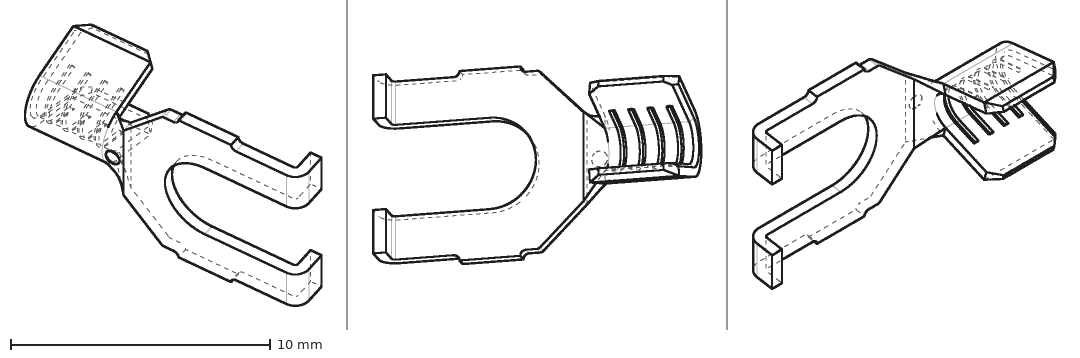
import cadquery as cq
import math


sheet = 0.51
length = 12.7
depth = 4.06

barrel_length = 3.55
barrel_radius = 1.4
barrel_offset = 0.04
flare = math.radians(15.5)
tip_thickness = sheet / 2
tip_bevel_length = 0.48
corner_trim = 0.48
mouth_chamfer_depth = 0.14
mouth_chamfer_length = 0.19

serration_count = 4
serration_pitch = 0.76
first_serration = 0.69
serration_width = 0.23
serration_depth = 0.08
serration_run = 1.17

neck_end = 4.57
neck_half_width = 1.8
disc_radius = 0.32

fork_half_width = 3.6
shoulder_x = neck_end + fork_half_width - neck_half_width
lug_half_width = 3.82
lug_start = 7.1
lug_end = 9.52
lug_fillet = lug_half_width - fork_half_width
shoulder_radius = 0.18
slot_radius = 1.84
slot_bottom = 6.48
tab_height = 1.52
bend_inner_radius = 0.13
bend_outer_radius = bend_inner_radius + sheet

barrel_center_y = barrel_offset + barrel_radius
bore_radius = barrel_radius - sheet
leg_length = (
    depth - barrel_center_y + bore_radius * math.sin(flare)
) / math.cos(flare)


def leg_point(radius, run, side):
    """(Y, Z) of a point `run` along a leg whose surface is tangent to `radius`; side is +1 or -1."""
    y = barrel_center_y - radius * math.sin(flare) + run * math.cos(flare)
    z = radius * math.cos(flare) + run * math.sin(flare)
    return y, side * z


def u_bottom(radius):
    return barrel_center_y - radius, 0


def u_area(radius, run, x):
    """Closed U-shaped outline in the plane at x, filled between its legs."""
    return (
        cq.Workplane("YZ", origin=(x, 0, 0))
        .moveTo(*leg_point(radius, run, 1))
        .lineTo(*leg_point(radius, 0, 1))
        .threePointArc(u_bottom(radius), leg_point(radius, 0, -1))
        .lineTo(*leg_point(radius, run, -1))
        .close()
    )


def u_taper(start_radius, start_x, end_radius, end_x, run):
    """Solid blending one filled U into another."""
    start = u_area(start_radius, run, start_x).val()
    end = u_area(end_radius, run, end_x).val()
    return cq.Workplane(obj=cq.Solid.makeLoft([start, end], True))


def make_wall():
    bevel_run = leg_length - tip_bevel_length
    tip_radius = bore_radius + tip_thickness
    return (
        cq.Workplane("YZ")
        .moveTo(*leg_point(barrel_radius, 0, 1))
        .threePointArc(u_bottom(barrel_radius), leg_point(barrel_radius, 0, -1))
        .lineTo(*leg_point(barrel_radius, bevel_run, -1))
        .lineTo(*leg_point(tip_radius, leg_length, -1))
        .lineTo(*leg_point(bore_radius, leg_length, -1))
        .lineTo(*leg_point(bore_radius, 0, -1))
        .threePointArc(u_bottom(bore_radius), leg_point(bore_radius, 0, 1))
        .lineTo(*leg_point(bore_radius, leg_length, 1))
        .lineTo(*leg_point(tip_radius, leg_length, 1))
        .lineTo(*leg_point(barrel_radius, bevel_run, 1))
        .close()
        .extrude(barrel_length)
    )


def make_corner_trim(end_x, inward, side):
    """Wedge that cuts one leg-tip corner at 45 degrees; inward is +1 or -1 along X."""
    tip_y, tip_z = leg_point(bore_radius, leg_length, side)
    leg_plane = cq.Plane(
        origin=(end_x, tip_y, tip_z),
        xDir=(inward, 0, 0),
        normal=(0, -math.sin(flare), side * math.cos(flare)),
    )
    toward_bend = -1 if leg_plane.yDir.y > 0 else 1
    return (
        cq.Workplane(leg_plane)
        .polyline([(0, 0), (corner_trim, 0), (0, toward_bend * corner_trim)])
        .close()
        .extrude(sheet, both=True)
    )


def make_barrel():
    barrel = make_wall()
    mouth = u_taper(
        bore_radius + mouth_chamfer_depth, 0, bore_radius, mouth_chamfer_length, 2 * leg_length
    )
    barrel = barrel.cut(mouth)
    for end_x, inward in ((0, 1), (barrel_length, -1)):
        for side in (1, -1):
            barrel = barrel.cut(make_corner_trim(end_x, inward, side))
    groove_radius = bore_radius + serration_depth
    for index in range(serration_count):
        groove_x = first_serration + index * serration_pitch
        for edge_x in (groove_x - serration_width / 2, groove_x + serration_width / 2):
            barrel = barrel.cut(
                u_taper(bore_radius, edge_x, groove_radius, groove_x, serration_run)
            )
    return barrel


def make_neck():
    """Blend from the round of the barrel to the flat root of the fork."""
    round_end = (
        cq.Workplane("YZ", origin=(barrel_length, 0, 0))
        .moveTo(*leg_point(barrel_radius, 0, 1))
        .threePointArc(u_bottom(barrel_radius), leg_point(barrel_radius, 0, -1))
        .lineTo(*leg_point(bore_radius, 0, -1))
        .threePointArc(u_bottom(bore_radius), leg_point(bore_radius, 0, 1))
        .close()
        .val()
    )
    flat_end = (
        cq.Workplane("YZ", origin=(neck_end, 0, 0))
        .moveTo(0, neck_half_width)
        .lineTo(0, -neck_half_width)
        .lineTo(sheet, -neck_half_width)
        .lineTo(sheet, neck_half_width)
        .close()
        .val()
    )
    neck = cq.Workplane(obj=cq.Solid.makeLoft([round_end, flat_end], True))
    disc = (
        cq.Workplane("XZ", origin=((barrel_length + neck_end) / 2, 0, 0))
        .circle(disc_radius)
        .extrude(-sheet / 2)
    )
    return neck.union(disc)


def make_fork():
    """Bent sheet profile trimmed to the fork outline."""
    bent_sheet = (
        cq.Workplane("XY")
        .moveTo(neck_end, 0)
        .lineTo(length - bend_outer_radius, 0)
        .radiusArc((length, bend_outer_radius), -bend_outer_radius)
        .lineTo(length, tab_height)
        .lineTo(length - sheet, tab_height)
        .lineTo(length - sheet, bend_outer_radius)
        .radiusArc((length - bend_outer_radius, sheet), bend_inner_radius)
        .lineTo(neck_end, sheet)
        .close()
        .extrude(lug_half_width, both=True)
    )
    half_outline = (
        cq.Workplane("XZ")
        .moveTo(neck_end, 0)
        .lineTo(neck_end, neck_half_width)
        .lineTo(shoulder_x, fork_half_width)
        .lineTo(lug_start - lug_fillet, fork_half_width)
        .radiusArc((lug_start, lug_half_width), -lug_fillet)
        .lineTo(lug_end, lug_half_width)
        .radiusArc((lug_end + lug_fillet, fork_half_width), -lug_fillet)
        .lineTo(length, fork_half_width)
        .lineTo(length, slot_radius)
        .lineTo(slot_bottom + slot_radius, slot_radius)
        .radiusArc((slot_bottom, 0), -slot_radius)
        .close()
        .extrude(-tab_height)
        .edges(cq.NearestToPointSelector((shoulder_x, tab_height / 2, fork_half_width)))
        .fillet(shoulder_radius)
    )
    outline = half_outline.union(half_outline.mirror("XY"))
    return bent_sheet.intersect(outline)


result = make_fork().union(make_neck()).union(make_barrel()).clean()